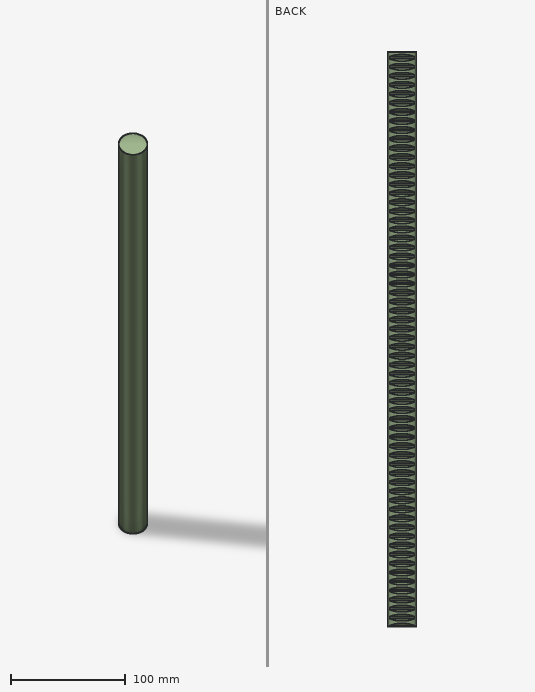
import cadquery as cq
import math

LENGTH = 500.0
DIAMETER = 25.0
RADIUS = DIAMETER / 2

CREST_FLAT_DEPTH = 0.25
CREST_Y = RADIUS - CREST_FLAT_DEPTH

MODULE = 2.5
PRESSURE_ANGLE = 20.0
PITCH = math.pi * MODULE
ADDENDUM = MODULE
DEDENDUM = 1.25 * MODULE
PITCH_LINE_Y = CREST_Y - ADDENDUM
ROOT_Y = PITCH_LINE_Y - DEDENDUM

FIRST_GAP_Z = -LENGTH / 2
GAP_COUNT = math.ceil(LENGTH / PITCH)


def gap_half_width(y):
    """Half the gap between straight flanks at height y; a quarter pitch at the pitch line."""
    return PITCH / 4 + (y - PITCH_LINE_Y) * math.tan(math.radians(PRESSURE_ANGLE))


def flatted_bar():
    """Round bar with the crest flat cut along its full length."""
    round_bar = cq.Workplane("XY").circle(RADIUS).extrude(LENGTH / 2, both=True)
    above_crest = (
        cq.Workplane("XY")
        .box(DIAMETER, DIAMETER, LENGTH)
        .translate((0, CREST_Y + DIAMETER / 2, 0))
    )
    return round_bar.cut(above_crest)


def tooth_gap(z):
    """Trapezoidal cutter across the full width of the bar, centred at z and open past the crests."""
    root_half = gap_half_width(ROOT_Y)
    open_half = gap_half_width(RADIUS)
    outline = [
        (ROOT_Y, z - root_half),
        (ROOT_Y, z + root_half),
        (RADIUS, z + open_half),
        (RADIUS, z - open_half),
    ]
    return cq.Workplane("YZ").polyline(outline).close().extrude(RADIUS, both=True)


rack = flatted_bar()
for index in range(GAP_COUNT):
    rack = rack.cut(tooth_gap(FIRST_GAP_Z + index * PITCH))

result = rack